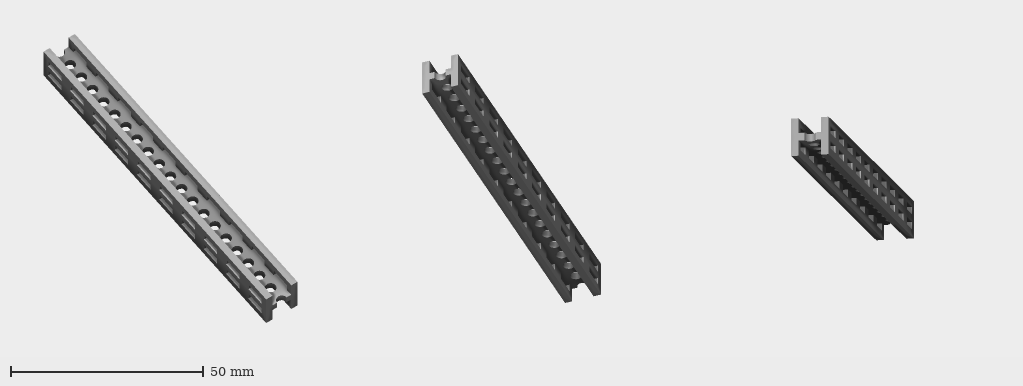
import cadquery as cq

length = 100.0
section_size = 10.0
plate_thickness = 2.0

hole_diameter = 3.0
hole_pitch = 5.0
hole_count = int(length / hole_pitch) + 1

slot_length = 6.0
slot_height = 2.0
slot_pitch = 10.0
slot_count = int(length / slot_pitch)
slot_row_count = 2
slot_row_spacing = plate_thickness + slot_height


def make_beam():
    """Plain H-section: two upright flanges joined by a web at mid height."""
    flange_offset = (section_size - plate_thickness) / 2
    web = cq.Workplane("XY").box(length, section_size - plate_thickness, plate_thickness)
    flanges = (
        cq.Workplane("XY")
        .pushPoints([(0, -flange_offset), (0, flange_offset)])
        .box(length, plate_thickness, section_size)
    )
    return web.union(flanges)


def make_web_holes():
    """Row of vertical cylinders along the middle of the web."""
    return (
        cq.Workplane("XY")
        .rarray(hole_pitch, 1, hole_count, 1)
        .circle(hole_diameter / 2)
        .extrude(plate_thickness, both=True)
    )


def make_flange_slots():
    """Grid of rectangular bars crossing both flanges."""
    return (
        cq.Workplane("XZ")
        .rarray(slot_pitch, slot_row_spacing, slot_count, slot_row_count)
        .rect(slot_length, slot_height)
        .extrude(section_size, both=True)
    )


result = make_beam().cut(make_web_holes()).cut(make_flange_slots())